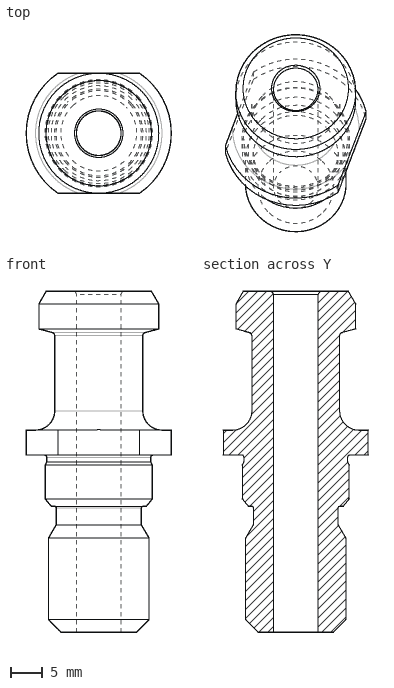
import cadquery as cq
import math

total_height = 54.0
flange_bottom = 28.0
flange_height = 4.0
flange_top = flange_bottom + flange_height
groove_bottom = 26.95
pilot_bottom = 19.9
neck_bottom = 17.0
thread_top = 14.9

head_diameter = 19.0
shank_diameter = 14.0
flange_diameter = 23.0
groove_diameter = 16.5
pilot_diameter = 17.0
neck_diameter = 13.5
thread_diameter = 16.0
bore_diameter = 7.0
bore_mouth_diameter = 7.65
bore_mouth_depth = 0.5

head_chamfer_height = 2.0
head_chamfer_angle = 30.0
head_rim_height = 4.0
head_underside_angle = 15.0
shank_fillet = 3.0
head_fillet = 0.5
groove_fillet = 0.3
neck_fillet = 0.25
pilot_top_chamfer_height = 0.5
pilot_chamfer = 1.2
pilot_chamfer_width = 0.95
thread_chamfer = 2.0

flat_spacing = head_diameter


def revolved_body():
    """Stepped outline of the pull stud revolved about Z."""
    head_r = head_diameter / 2
    shank_r = shank_diameter / 2
    flange_r = flange_diameter / 2
    groove_r = groove_diameter / 2
    pilot_r = pilot_diameter / 2
    neck_r = neck_diameter / 2
    thread_r = thread_diameter / 2

    head_top_r = head_r - head_chamfer_height * math.tan(math.radians(head_chamfer_angle))
    rim_top = total_height - head_chamfer_height
    rim_bottom = rim_top - head_rim_height
    head_bottom = rim_bottom - (head_r - shank_r) * math.tan(math.radians(head_underside_angle))

    outline = [
        (0, 0),
        (thread_r - thread_chamfer, 0),
        (thread_r, thread_chamfer),
        (thread_r, thread_top),
        (neck_r, neck_bottom),
        (neck_r, pilot_bottom),
        (pilot_r - pilot_chamfer_width, pilot_bottom),
        (pilot_r, pilot_bottom + pilot_chamfer),
        (pilot_r, groove_bottom - pilot_top_chamfer_height),
        (groove_r, groove_bottom),
        (groove_r, flange_bottom),
        (flange_r, flange_bottom),
        (flange_r, flange_top),
        (shank_r, flange_top),
        (shank_r, head_bottom),
        (head_r, rim_bottom),
        (head_r, rim_top),
        (head_top_r, total_height),
        (0, total_height),
    ]
    body = cq.Workplane("XZ").polyline(outline).close().revolve(360, (0, 0), (0, 1))

    inside_corners = [
        (shank_r, flange_top, shank_fillet),
        (shank_r, head_bottom, head_fillet),
        (groove_r, flange_bottom, groove_fillet),
        (neck_r, pilot_bottom, neck_fillet),
    ]
    for radius, height, fillet in inside_corners:
        body = fillet_circle(body, radius, height, fillet)
    return body


def fillet_circle(body, radius, height, fillet):
    """Fillet the circular edge of the given radius at the given height."""
    tolerance = 0.005
    circles = [
        edge
        for edge in body.edges("%CIRCLE").vals()
        if abs(edge.radius() - radius) < tolerance and abs(edge.Center().z - height) < tolerance
    ]
    return body.newObject(circles).fillet(fillet)


def wrench_flats(body):
    """Trim the flange to two flats facing -Y and +Y."""
    slab = cq.Workplane("XY").box(
        flange_diameter, flat_spacing, total_height, centered=(True, True, False)
    )
    return body.intersect(slab)


def coolant_bore(body):
    """Through bore with a tapered mouth in the head."""
    bore_r = bore_diameter / 2
    mouth_r = bore_mouth_diameter / 2
    outline = [
        (0, 0),
        (bore_r, 0),
        (bore_r, total_height - bore_mouth_depth),
        (mouth_r, total_height),
        (0, total_height),
    ]
    bore = cq.Workplane("XZ").polyline(outline).close().revolve(360, (0, 0), (0, 1))
    return body.cut(bore)


result = coolant_bore(wrench_flats(revolved_body()))